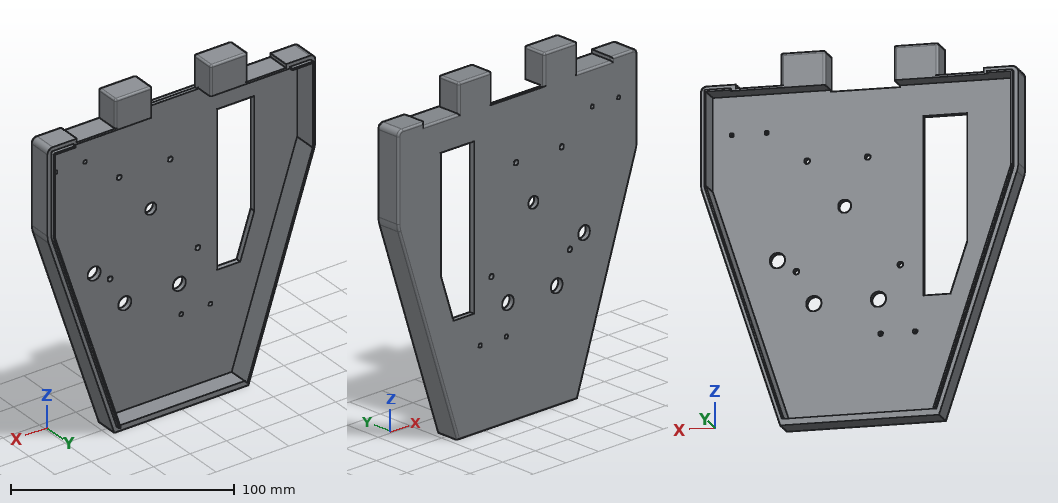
import cadquery as cq


width = 147.0
height = 172.0
bottom_width = 73.6
bend_z = 112.0
shoulder_z = 159.0
shelf_z = 157.0
corner_inner_x = 57.5
tab_inner_x = 16.0
tab_outer_x = 36.5
corner_radius = 3.0
bend_radius = 12.0
edge_radius = 1.0
gap_drop = 0.7

body_depth = 12.9
lip_height = 2.0
floor_thickness = 3.0
wall = 3.0
lip_inset = 2.0
ceiling_z = shoulder_z - wall

window_left = -47.1
window_right = -26.8
window_top = 141.2
window_bottom = 58.3
window_bend_z = 81.9
taper_slope = (width - bottom_width) / 2 / bend_z
window_bottom_left = window_left + (window_bend_z - window_bottom) * taper_slope

hole_groups = [
    (1.9, [(45.8, 138.3), (62.0, 138.3)]),
    (2.0, [(-23.0, 42.0), (-7.0, 42.0)]),
    (2.5, [(-1.0, 124.0), (27.0, 124.0), (-16.2, 73.3), (32.0, 73.3)]),
    (6.0, [(9.6, 102.0)]),
    (7.0, [(40.8, 79.0), (-6.0, 58.0), (23.9, 58.0)]),
]


def prism(sketch, y_start, y_end):
    """Extrude an X-Z sketch from y_start to y_end."""
    return sketch.extrude(y_start - y_end).translate((0, y_start, 0))


def block(x_min, x_max, y_min, y_max, z_min, z_max):
    """Box between two corners."""
    size = (x_max - x_min, y_max - y_min, z_max - z_min)
    return cq.Workplane("XY").box(*size, centered=False).translate((x_min, y_min, z_min))


def mirrored_outline(right_half):
    """Close a right-hand half outline with its mirror image."""
    left_half = [(-x, z) for x, z in reversed(right_half)]
    return cq.Workplane("XZ").polyline(right_half + left_half).close()


def shield(inset, y_start, y_end):
    """Plain tapered plate without tabs or shelf, offset inwards by inset."""
    outline = mirrored_outline([
        (bottom_width / 2, 0),
        (width / 2, bend_z),
        (width / 2, shoulder_z),
    ])
    if inset:
        outline = outline.offset2D(-inset)
    return prism(outline, y_start, y_end)


def round_sides(plate, inset):
    """Round the shoulder corners and side bends, keeping them concentric with the outer ones."""
    for radius, z_min, z_max in [
        (corner_radius, shoulder_z - 2 * wall, shoulder_z + wall),
        (bend_radius, bend_z - wall, bend_z + wall),
    ]:
        selector = cq.selectors.BoxSelector((-width, -height, z_min), (width, height, z_max))
        plate = plate.edges("|Y").edges(selector).fillet(radius - inset)
    return plate


def make_tab_gap():
    """Opening between the tabs; its floor slopes down just behind the front face."""
    low_z = ceiling_z - gap_drop
    profile = cq.Workplane("YZ").polyline([
        (0, ceiling_z),
        (edge_radius, low_z),
        (body_depth, low_z),
        (body_depth, height),
        (0, height),
    ]).close()
    return profile.extrude(tab_inner_x, both=True)


def make_body():
    """Solid outer body with tabs, shelves and rounded front edges."""
    body = round_sides(shield(0, 0, body_depth), 0)
    body = body.cut(block(-corner_inner_x, corner_inner_x, 0, body_depth, shelf_z, height))
    for x_min in (-tab_outer_x, tab_inner_x):
        x_max = x_min + tab_outer_x - tab_inner_x
        body = body.union(block(x_min, x_max, 0, body_depth, ceiling_z, height))
    body = body.cut(make_tab_gap())
    tab_zone = cq.selectors.BoxSelector(
        (-width, edge_radius, shoulder_z + edge_radius), (width, 2 * body_depth, 2 * height)
    )
    gap_edge = cq.selectors.NearestToPointSelector((0, 0, ceiling_z))
    front_edges = body.faces("<Y").edges(cq.selectors.InverseSelector(gap_edge)).vals()
    tab_edges = body.edges(tab_zone).vals()
    return body.newObject(front_edges + tab_edges).fillet(edge_radius)


def make_lip():
    """Thin lip standing on the rim along the sides and the shoulder corners."""
    lip_end_x = corner_inner_x + lip_inset
    lip = round_sides(shield(lip_inset, floor_thickness, body_depth + lip_height), lip_inset)
    gap = block(-lip_end_x, lip_end_x, 0, 2 * body_depth, ceiling_z, height)
    bottom = block(-width, width, 0, 2 * body_depth, 0, wall)
    return lip.cut(gap).cut(bottom)


body = make_body().union(make_lip())

body = body.cut(shield(wall, floor_thickness, 2 * body_depth))

window = cq.Workplane("XZ").polyline([
    (window_left, window_top),
    (window_right, window_top),
    (window_right, window_bottom),
    (window_bottom_left, window_bottom),
    (window_left, window_bend_z),
]).close()
body = body.cut(prism(window, 0, floor_thickness))
for diameter, centres in hole_groups:
    holes = cq.Workplane("XZ").pushPoints(centres).circle(diameter / 2)
    body = body.cut(prism(holes, 0, floor_thickness))

result = body